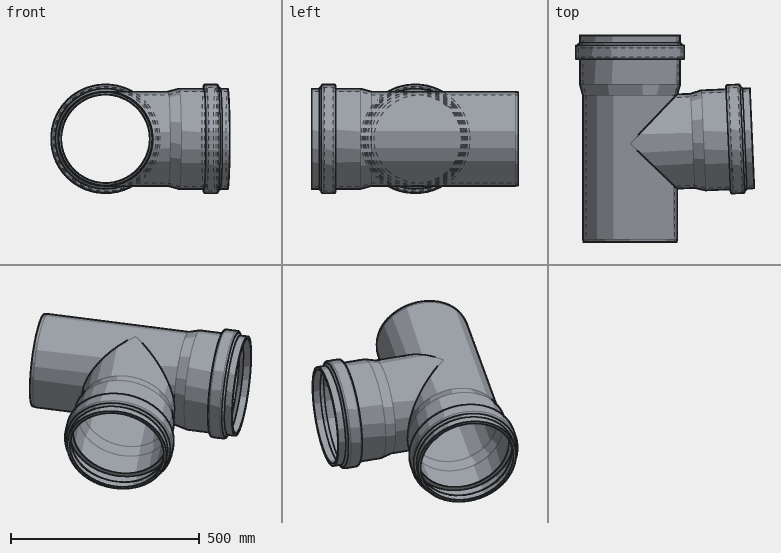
import cadquery as cq
import math

PIPE_DIAMETER = 250.5
BORE_DIAMETER = 234.0
SOCKET_DIAMETER = 266.5
SOCKET_BORE_DIAMETER = 252.0
RING_DIAMETER = 289.0
GROOVE_DIAMETER = 275.0

RUN_LENGTH = 548.5
SPIGOT_LENGTH = 261.5
SPIGOT_CHAMFER_LENGTH = 8.0
SPIGOT_CHAMFER_DEPTH = 1.5

OVERALL_WIDTH = 474.5
BRANCH_TILT = 2.5

LIP_LENGTH = 20.0
RING_FRONT = 26.0
RING_BACK = 63.5
RING_ROUND = 5.0
CONE_FRONT = 129.5
CONE_BACK = 158.5

pipe_radius = PIPE_DIAMETER / 2
bore_radius = BORE_DIAMETER / 2
socket_radius = SOCKET_DIAMETER / 2
socket_bore_radius = SOCKET_BORE_DIAMETER / 2
ring_radius = RING_DIAMETER / 2
groove_radius = GROOVE_DIAMETER / 2
ring_wall = ring_radius - groove_radius

run_socket_end = RUN_LENGTH - SPIGOT_LENGTH
tilt = math.radians(BRANCH_TILT)
branch_reach = OVERALL_WIDTH - ring_radius
branch_length = (branch_reach - socket_radius * math.sin(tilt)) / math.cos(tilt)


def revolve_about_y(profile):
    """Turn a closed profile of radius and Y into a solid around the Y axis."""
    return profile.close().revolve(360, (0, 0, 0), (0, 1, 0))


def add_socket_outside(profile, end):
    """Continue a profile along the outside of a socket and back to the axis."""
    ring_back = end - RING_BACK
    ring_front = end - RING_FRONT
    ring_side_radius = ring_radius - RING_ROUND
    arc_inset = RING_ROUND * (1 - math.sqrt(0.5))
    return (
        profile.lineTo(pipe_radius, end - CONE_BACK)
        .lineTo(socket_radius, end - CONE_FRONT)
        .lineTo(socket_radius, ring_back)
        .lineTo(ring_side_radius, ring_back)
        .threePointArc(
            (ring_radius - arc_inset, ring_back + arc_inset),
            (ring_radius, ring_back + RING_ROUND),
        )
        .lineTo(ring_radius, ring_front - RING_ROUND)
        .threePointArc(
            (ring_radius - arc_inset, ring_front - arc_inset),
            (ring_side_radius, ring_front),
        )
        .lineTo(socket_radius, end - LIP_LENGTH)
        .lineTo(socket_radius, end)
        .lineTo(0, end)
    )


def add_socket_inside(profile, end):
    """Continue a profile along the inside of a socket, with the seal groove under the ring."""
    groove_back = end - RING_BACK + ring_wall
    groove_front = end - RING_FRONT - ring_wall
    return (
        profile.lineTo(bore_radius, end - CONE_BACK)
        .lineTo(socket_bore_radius, end - CONE_FRONT)
        .lineTo(socket_bore_radius, groove_back)
        .lineTo(groove_radius, groove_back)
        .lineTo(groove_radius, groove_front)
        .lineTo(socket_bore_radius, end - LIP_LENGTH)
        .lineTo(socket_bore_radius, end)
        .lineTo(0, end)
    )


def tilt_to_branch(body):
    """Swing a body from the Y axis onto the branch axis."""
    return body.rotate((0, 0, 0), (0, 0, 1), BRANCH_TILT - 90)


spigot_outside = (
    cq.Workplane("XY")
    .moveTo(0, -SPIGOT_LENGTH)
    .lineTo(pipe_radius - SPIGOT_CHAMFER_DEPTH, -SPIGOT_LENGTH)
    .lineTo(pipe_radius, -SPIGOT_LENGTH + SPIGOT_CHAMFER_LENGTH)
)
spigot_inside = cq.Workplane("XY").moveTo(0, -SPIGOT_LENGTH).lineTo(bore_radius, -SPIGOT_LENGTH)
run_body = revolve_about_y(add_socket_outside(spigot_outside, run_socket_end))
run_bore = revolve_about_y(add_socket_inside(spigot_inside, run_socket_end))

branch_outside = cq.Workplane("XY").lineTo(pipe_radius, 0)
branch_inside = cq.Workplane("XY").lineTo(bore_radius, 0)
branch_body = tilt_to_branch(revolve_about_y(add_socket_outside(branch_outside, branch_length)))
branch_bore = tilt_to_branch(revolve_about_y(add_socket_inside(branch_inside, branch_length)))

result = run_body.union(branch_body).cut(run_bore).cut(branch_bore)